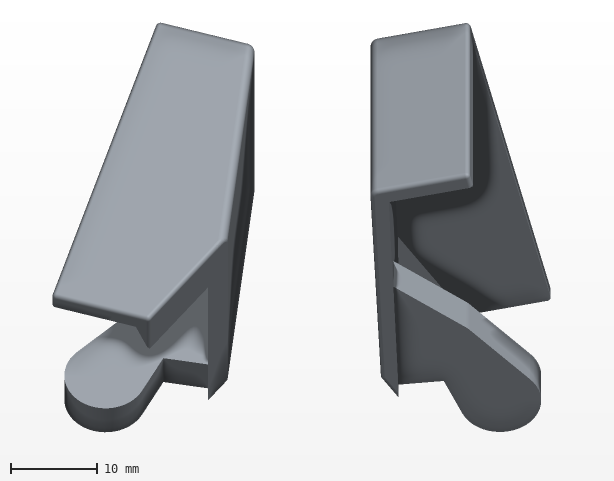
import cadquery as cq
import math

length = 42.4
height = 27.9
end_width = 11.85
apex_x = 17.05
apex_y = 14.3
plate_thickness = 2.05
back_thickness = 1.95
inner_corner_x = 10.05
wall_front_x = 15.75
wall_front_y = 10.8
small_round = 0.5
large_round = 1.0

lip_bottom_z = 22.05
lip_top_width = 1.55

arm_bottom_z = 2.5
arm_thickness = 4.6
arm_nose_radius = 4.8
arm_front_y = 1.05
arm_notch = (10.47, 10.25)
arm_wall_front_y = 10.9
arm_elbow = (5.95, 17.45)
arm_elbow_radius = 6.4 / 2
arm_wall_back_y = 25.6

margin = 4.25

ceiling_z = height - plate_thickness
back_inner_y = length - back_thickness
wall_slope = (inner_corner_x - wall_front_x) / (back_inner_y - wall_front_y)


def inner_wall_x(y):
    """X of the inner face of the side wall at a given Y."""
    return wall_front_x + wall_slope * (y - wall_front_y)


def tangent_point(center, radius, point, side):
    """Touch point of a tangent from point to a circle; side is +1 or -1."""
    dx = point[0] - center[0]
    dy = point[1] - center[1]
    angle = math.atan2(dy, dx) + side * math.acos(radius / math.hypot(dx, dy))
    return (center[0] + radius * math.cos(angle), center[1] + radius * math.sin(angle))


def pick_edges(solid, points):
    """Edges of the solid whose middles lie nearest to the given points."""
    edges = [solid.edges(cq.selectors.NearestToPointSelector(point)).val() for point in points]
    return solid.newObject(edges)


def make_block():
    """Solid housing with its outer edges rounded."""
    outline = [(0, 0), (end_width, 0), (apex_x, apex_y), (end_width, length), (0, length)]
    block = cq.Workplane("XY").polyline(outline).close().extrude(height)

    large_points = [
        (end_width / 2, length, height),
        ((apex_x + end_width) / 2, (apex_y + length) / 2, height),
        (end_width, length, height / 2),
    ]
    block = pick_edges(block, large_points).fillet(large_round)

    small_points = [
        (0, 0, height / 2),
        (end_width, 0, height / 2),
        (0, length, height / 2),
        (0, length / 2, height),
        (end_width / 2, 0, height),
        ((end_width + apex_x) / 2, apex_y / 2, height),
    ]
    small_edges = pick_edges(block, small_points).add(block.edges("<Z"))
    return small_edges.fillet(small_round)


def make_cavity():
    """Space inside the walls, less the wedge that remains as the lip."""
    outline = [
        (-margin, -margin),
        (inner_wall_x(-margin), -margin),
        (inner_wall_x(back_inner_y), back_inner_y),
        (-margin, back_inner_y),
    ]
    cavity = (
        cq.Workplane("XY").workplane(offset=-margin)
        .polyline(outline).close().extrude(ceiling_z + margin)
    )
    wires = []
    for x, y in ((end_width, 0), (apex_x, apex_y)):
        corners = [(x - lip_top_width, y, ceiling_z), (x, y, ceiling_z), (x, y, lip_bottom_z)]
        wires.append(cq.Wire.makePolygon([cq.Vector(*c) for c in corners], close=True))
    return cavity.cut(cq.Workplane(obj=cq.Solid.makeLoft(wires, True)))


def make_arm():
    """Flat arm with a round nose, a front notch and a softened elbow."""
    center = (arm_nose_radius, arm_front_y + arm_nose_radius)
    right = tangent_point(center, arm_nose_radius, arm_notch, -1)
    left = tangent_point(center, arm_nose_radius, arm_elbow, 1)
    arm = (
        cq.Workplane("XY").workplane(offset=arm_bottom_z)
        .moveTo(*left)
        .threePointArc((center[0], arm_front_y), right)
        .lineTo(*arm_notch)
        .lineTo(inner_wall_x(arm_wall_front_y), arm_wall_front_y)
        .lineTo(inner_wall_x(arm_wall_back_y), arm_wall_back_y)
        .lineTo(*arm_elbow)
        .close().extrude(arm_thickness)
    )
    elbow_edge = cq.selectors.NearestToPointSelector((*arm_elbow, arm_bottom_z + arm_thickness / 2))
    return arm.edges(elbow_edge).fillet(arm_elbow_radius)


result = make_block().cut(make_cavity()).union(make_arm())